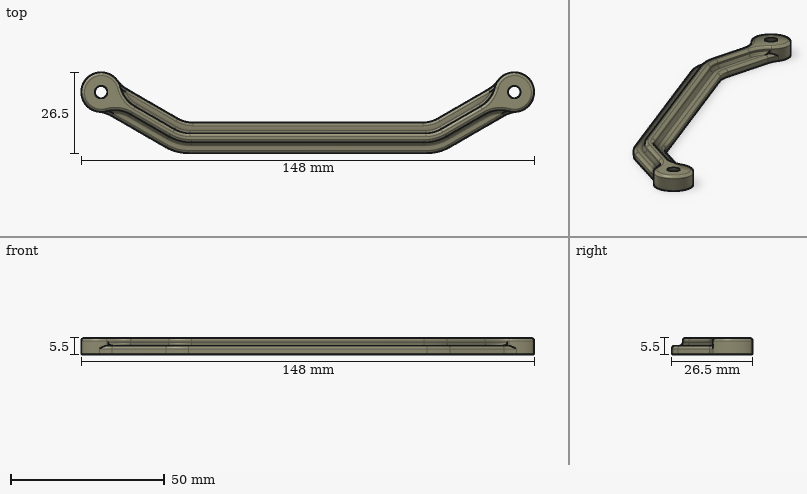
import cadquery as cq
import math

length = 148.0
hole_diameter = 4.0
eye_radius = 6.5
eye_height = 5.5
bar_width = 10.0
bar_height = 3.0
rib_width = 3.0
arm_drop = 15.0
arm_angle = 30.0
inner_bend_radius = 10.0
outer_bend_radius = 15.0
junction_radius = 10.0
edge_round = 1.0
root_round = edge_round
bottom_round = 0.5

slope = math.radians(arm_angle)
hole_x = length / 2 - eye_radius
bend_x = hole_x - arm_drop / math.tan(slope)
eye_centers = [(-hole_x, 0), (hole_x, 0)]


def bent_strip(width, height):
    """Bent strip with an eye on each end, all of one height, standing on z = 0."""
    half = width / 2

    def arm_point(along, across):
        """Plan position measured from the right hole along and across its arm."""
        x = hole_x - along * math.cos(slope) - across * math.sin(slope)
        y = -along * math.sin(slope) + across * math.cos(slope)
        return x, y

    bend_shift = half * math.tan(slope / 2)
    inner_corner = (bend_x - bend_shift, half - arm_drop)
    outer_corner = (bend_x + bend_shift, -half - arm_drop)
    right_side = [outer_corner, arm_point(0, -half), arm_point(0, half), inner_corner]
    left_side = [(-x, y) for x, y in reversed(right_side)]
    strip = cq.Workplane("XY").polyline(right_side + left_side).close().extrude(height)
    eyes = cq.Workplane("XY").pushPoints(eye_centers).circle(eye_radius).extrude(height)
    strip = strip.union(eyes)

    junction_reach = math.sqrt(eye_radius**2 - half**2)
    corners = [
        (inner_corner, inner_bend_radius),
        (outer_corner, outer_bend_radius),
        (arm_point(junction_reach, half), junction_radius),
        (arm_point(junction_reach, -half), junction_radius),
    ]
    for (x, y), radius in corners:
        for side in (-1, 1):
            nearest = cq.NearestToPointSelector((side * x, y, height / 2))
            strip = strip.edges("|Z").edges(nearest).fillet(radius)
    return strip


def rounded_strip(width, height):
    """Bent strip with its top edges rounded."""
    return bent_strip(width, height).faces(">Z").edges().fillet(edge_round)


def rib_root(bar):
    """Flared foot of the rib, kept within the flat top of the bar."""
    slab_length = 2 * length
    slab_width = length
    slab = cq.Workplane("XY").rect(slab_length, slab_width).extrude(bar_height)
    margin = 0.1
    foot_line = cq.selectors.BoxSelector(
        (-length / 2, -slab_width / 4, bar_height - margin),
        (length / 2, slab_width / 4, bar_height + margin),
    )
    flared = slab.union(bent_strip(rib_width, eye_height)).edges(foot_line).fillet(root_round)
    flat_top = bar.faces(">Z").wires().toPending().workplane().extrude(root_round, combine=False)
    return flared.intersect(flat_top)


bar = rounded_strip(bar_width, bar_height)
rib = rounded_strip(rib_width, eye_height)
body = bar.union(rib).union(rib_root(bar))

body = body.faces("<Z").edges().fillet(bottom_round)
holes = cq.Workplane("XY").pushPoints(eye_centers).circle(hole_diameter / 2).extrude(eye_height)
result = body.cut(holes)